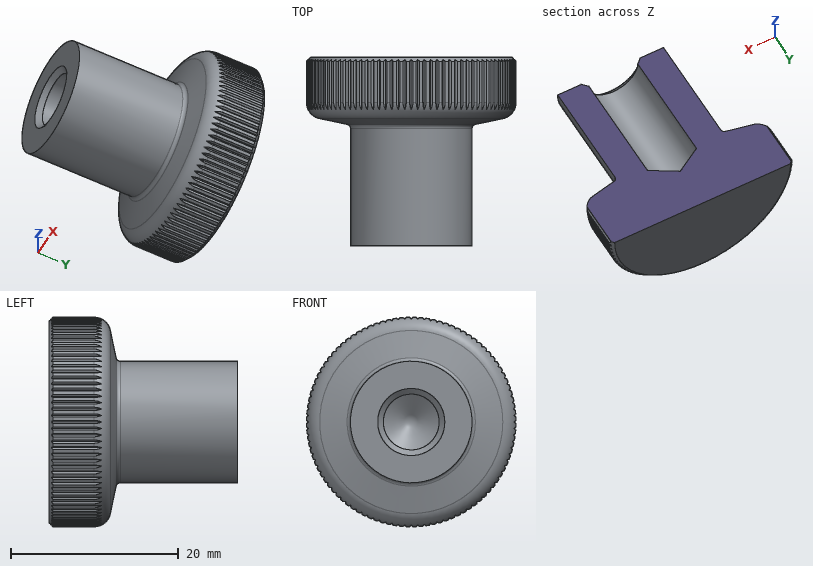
import cadquery as cq
import math

HEAD_RADIUS = 12.5
RIM_HEIGHT = 7.0
CONE_SLOPE = 12.0
RIM_FILLET = 2.0
BACK_CHAMFER = 0.5

TOTAL_LENGTH = 22.5
STEM_RADIUS = 14.5 / 2
STEM_FILLET = 0.5

HOLE_RADIUS = 6.65 / 2
HOLE_MOUTH_RADIUS = 4.0
HOLE_DEPTH = 15.0
DRILL_TIP_ANGLE = 118.0

GROOVE_COUNT = 100
GROOVE_DEPTH = 0.2
GROOVE_ANGLE = 90.0
GROOVE_OVERRUN = 0.1

BACK_Y = 0.0
STEM_END_Y = BACK_Y - TOTAL_LENGTH


def make_body():
    """Solid of revolution: chamfered rim, rounded front edge, cone and stem."""
    slope = math.radians(CONE_SLOPE)
    sin_slope = math.sin(slope)
    cos_slope = math.cos(slope)
    tan_slope = math.tan(slope)

    def cone_y(radius):
        return BACK_Y - RIM_HEIGHT - (HEAD_RADIUS - radius) * tan_slope

    def arc_point(centre, radius, angle):
        return (centre[0] + radius * math.cos(angle), centre[1] + radius * math.sin(angle))

    rim_centre_radius = HEAD_RADIUS - RIM_FILLET
    rim_centre = (rim_centre_radius, cone_y(rim_centre_radius) + RIM_FILLET / cos_slope)
    rim_end_angle = slope - math.pi / 2
    rim_middle = arc_point(rim_centre, RIM_FILLET, rim_end_angle / 2)
    rim_end = arc_point(rim_centre, RIM_FILLET, rim_end_angle)

    stem_centre_radius = STEM_RADIUS + STEM_FILLET
    stem_centre = (stem_centre_radius, cone_y(stem_centre_radius) - STEM_FILLET / cos_slope)
    stem_start_angle = math.pi / 2 + slope
    stem_start = arc_point(stem_centre, STEM_FILLET, stem_start_angle)
    stem_middle = arc_point(stem_centre, STEM_FILLET, (stem_start_angle + math.pi) / 2)

    return (
        cq.Workplane("XY")
        .moveTo(0, BACK_Y)
        .lineTo(HEAD_RADIUS - BACK_CHAMFER, BACK_Y)
        .lineTo(HEAD_RADIUS, BACK_Y - BACK_CHAMFER)
        .lineTo(HEAD_RADIUS, rim_centre[1])
        .threePointArc(rim_middle, rim_end)
        .lineTo(*stem_start)
        .threePointArc(stem_middle, (STEM_RADIUS, stem_centre[1]))
        .lineTo(STEM_RADIUS, STEM_END_Y)
        .lineTo(0, STEM_END_Y)
        .close()
        .revolve(360, (0, 0), (0, 1))
    )


def make_hole():
    """Drilled hole with a 45 degree mouth chamfer and a conical bottom."""
    mouth_depth = HOLE_MOUTH_RADIUS - HOLE_RADIUS
    tip_depth = HOLE_RADIUS / math.tan(math.radians(DRILL_TIP_ANGLE / 2))
    bottom_y = STEM_END_Y + HOLE_DEPTH
    return (
        cq.Workplane("XY")
        .moveTo(0, STEM_END_Y)
        .lineTo(HOLE_MOUTH_RADIUS, STEM_END_Y)
        .lineTo(HOLE_RADIUS, STEM_END_Y + mouth_depth)
        .lineTo(HOLE_RADIUS, bottom_y)
        .lineTo(0, bottom_y + tip_depth)
        .close()
        .revolve(360, (0, 0), (0, 1))
    )


def make_grooves():
    """Ring of V-shaped cutters parallel to Y, running out through chamfer and rounding."""
    root_radius = HEAD_RADIUS - GROOVE_DEPTH
    top_radius = HEAD_RADIUS + GROOVE_OVERRUN
    half_width = (top_radius - root_radius) * math.tan(math.radians(GROOVE_ANGLE / 2))
    cutter = (
        cq.Workplane("XZ", origin=(0, BACK_Y, 0))
        .polyline([(root_radius, 0), (top_radius, half_width), (top_radius, -half_width)])
        .close()
        .extrude(RIM_HEIGHT)
        .val()
    )
    pitch = 360 / GROOVE_COUNT
    axis_start = cq.Vector(0, 0, 0)
    axis_end = cq.Vector(0, 1, 0)
    cutters = [cutter.rotate(axis_start, axis_end, index * pitch) for index in range(GROOVE_COUNT)]
    return cq.Compound.makeCompound(cutters)


result = make_body().cut(make_hole()).cut(cq.Workplane(obj=make_grooves()))